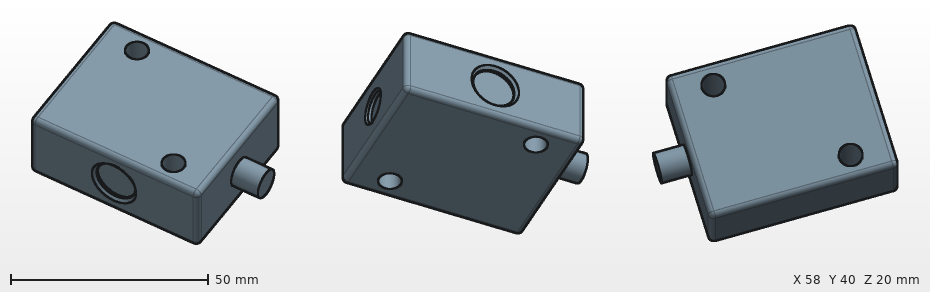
import cadquery as cq

total_length = 57.95
body_length = 50.0
body_width = 40.0
body_height = 20.0
edge_radius = 1.5

stub_diameter = 8.0

hole_diameter = 6.0
hole_end_offset = 11.0
hole_side_offset = 6.0

recess_depth = 1.5
front_recess_diameter = 11.4
front_recess_chamfer = 0.85
end_recess_diameter = 8.6
end_recess_chamfer = 0.55


def chamfered_recess(plane, diameter, chamfer):
    """Cutter for a blind recess whose mouth lies on the plane and widens by the chamfer."""
    bore = cq.Workplane(plane).circle(diameter / 2).extrude(recess_depth)
    mouth = (
        cq.Workplane(plane)
        .circle(diameter / 2 + chamfer)
        .workplane(offset=chamfer)
        .circle(diameter / 2)
        .loft(ruled=True)
    )
    return bore.union(mouth)


body = cq.Workplane("XY").box(body_length, body_width, body_height).edges().fillet(edge_radius)

stub = (
    cq.Workplane("YZ", origin=(body_length / 2, 0, 0))
    .circle(stub_diameter / 2)
    .extrude(total_length - body_length)
)

hole_x = body_length / 2 - hole_end_offset
hole_y = body_width / 2 - hole_side_offset
holes = (
    cq.Workplane("XY", origin=(0, 0, -body_height / 2))
    .pushPoints([(-hole_x, hole_y), (hole_x, -hole_y)])
    .circle(hole_diameter / 2)
    .extrude(body_height)
)

front_plane = cq.Plane(origin=(0, -body_width / 2, 0), xDir=(1, 0, 0), normal=(0, 1, 0))
end_plane = cq.Plane(origin=(-body_length / 2, 0, 0), xDir=(0, 1, 0), normal=(1, 0, 0))
front_recess = chamfered_recess(front_plane, front_recess_diameter, front_recess_chamfer)
end_recess = chamfered_recess(end_plane, end_recess_diameter, end_recess_chamfer)

result = body.union(stub).cut(holes).cut(front_recess).cut(end_recess)